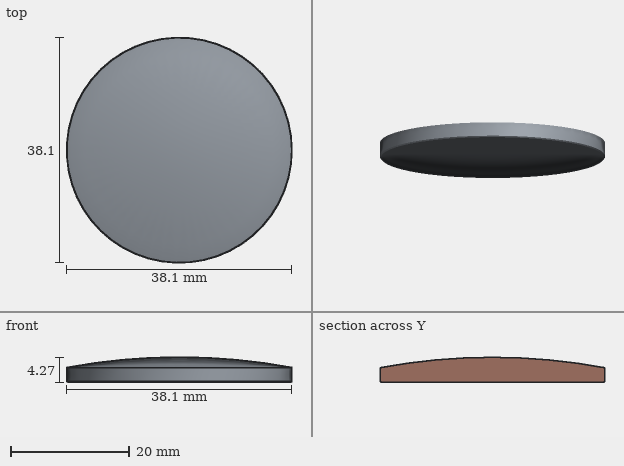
import cadquery as cq
import math

diameter = 38.1
center_thickness = 4.27
edge_thickness = 2.5
bevel = 0.2

radius = diameter / 2
sag = center_thickness - edge_thickness
surface_radius = (radius**2 + sag**2) / (2 * sag)


def convex_height(distance_from_axis):
    """Height of the spherical face at a given distance from the optical axis."""
    sphere_center = center_thickness - surface_radius
    return sphere_center + math.sqrt(surface_radius**2 - distance_from_axis**2)


def make_lens():
    """Revolve the half section, drawn in the XZ plane, around the optical axis."""
    mid_radius = radius / 2
    half_section = (
        cq.Workplane("XZ")
        .lineTo(radius - bevel, 0)
        .lineTo(radius, bevel)
        .lineTo(radius, edge_thickness)
        .threePointArc((mid_radius, convex_height(mid_radius)), (0, center_thickness))
        .close()
    )
    return half_section.revolve(360, (0, 0, 0), (0, 1, 0))


result = make_lens()